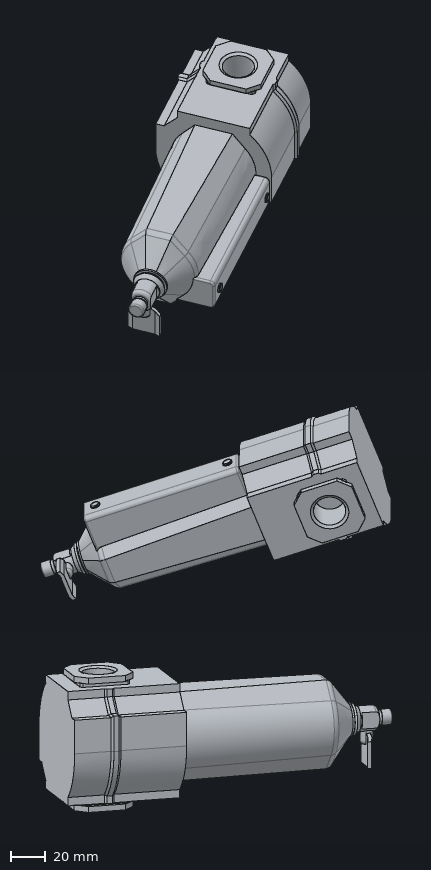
import cadquery as cq
import math


OVERALL_LENGTH = 201.9

HEAD_BACK = 25.0
HEAD_LENGTH = 67.7
HEAD_FRONT = HEAD_BACK - HEAD_LENGTH
HEAD_HALF_HEIGHT = 34.0
HEAD_TOP_HALF_WIDTH = 22.2
SHOULDER_HEIGHT = 29.0
STEP_HALF_WIDTH = 30.3
STEP_HEIGHT = 20.0
HEAD_HALF_WIDTH = 35.6

BAND_HALF_WIDTH = 36.75
BAND_HEIGHT = BAND_HALF_WIDTH - HEAD_HALF_WIDTH
BAND_BASE_WIDTH = 6.0
BAND_CREST_WIDTH = 3.2

FLANGE_OUTER = 40.0
FLANGE_WIDTH = 35.6
FLANGE_CORNER = 6.7
FLANGE_THICKNESS = 3.6
NECK_WIDTH = 30.0
NECK_CORNER = 1.4
PORT_DIAMETER = 18.6
PORT_MOUTH_DIAMETER = 22.2
PORT_MOUTH_DEPTH = 1.2
PORT_DEPTH = 20.0

BOWL_HALF_HEIGHT = 26.5
ROOT_CORNERS = ((11.5, BOWL_HALF_HEIGHT), (19.3, 17.4))
ROOT_SIDE_RADIUS = 26.0
EDGE_CORNERS = ((8.0, BOWL_HALF_HEIGHT), (17.4, 16.2))
EDGE_SIDE_RADIUS = 23.8
BOWL_EDGE = -137.4
BOWL_EDGE_FILLET = 4.7
BOWL_TIP_RADIUS = 10.2
BOWL_TIP_START = -151.0
BOWL_TIP = -152.2
TIP_FLAT_ANGLE = 18.8
TIP_SIDE_ANGLE = 47.6

GUARD_BACK = -43.7
GUARD_FRONT = -139.4
GUARD_TOP = 0.3
GUARD_BOTTOM = -20.4
GUARD_INNER = 10.0
GUARD_OUTER = 35.0
GUARD_CORNER_RADIUS = 3.0
GUARD_END_RADIUS = 1.2
SCREW_RADIUS = 2.8
SCREW_HEIGHT = 1.2
SCREW_CHAMFER = 0.5
SCREW_Y = (-50.0, -131.4)

VALVE_END = HEAD_BACK - OVERALL_LENGTH
COLLAR_NECK_RADIUS = 8.7
COLLAR_RADIUS = 9.6
COLLAR_NECK_END = -152.8
COLLAR_CREST = -154.0
COLLAR_END = -156.7
VALVE_RADIUS = 7.6
VALVE_HALF_FLATS = 5.85
FLATS_START = -157.6
VALVE_BODY_END = -168.6
VALVE_BODY_FILLET = 2.4
SPIGOT_RADIUS = 4.8
SPIGOT_NECK_RADIUS = 4.3
SPIGOT_NECK_END = -170.5
SPIGOT_FILLET = 0.9

LEVER_Y = -162.2
STEM_RADIUS = 3.95
STEM_END = -15.0
STEM_FILLET = 1.7
WING_HALF_WIDTH = 10.25
WING_BEND = 7.0
WING_BEND_SHIFT = 1.3
WING_THICKNESS = 2.5
WING_TOP = -7.0
WING_SHOULDER = -11.6
WING_SLOPE_START = 2.0
WING_BOTTOM = -27.7


def section_plane(y):
    """Plane across the long axis: local x is X, local y is Z, extrusion runs toward -Y."""
    return cq.Workplane("XZ", origin=(0, y, 0))


def head_outline(plane):
    rise = HEAD_HALF_WIDTH - HEAD_TOP_HALF_WIDTH
    arc_radius = (rise**2 + SHOULDER_HEIGHT**2) / (2 * rise)
    arc_angle = math.asin(SHOULDER_HEIGHT / arc_radius) / 2
    mid_x = HEAD_HALF_WIDTH - arc_radius * (1 - math.cos(arc_angle))
    mid_z = arc_radius * math.sin(arc_angle)
    return (
        plane.moveTo(-HEAD_TOP_HALF_WIDTH, HEAD_HALF_HEIGHT)
        .lineTo(HEAD_TOP_HALF_WIDTH, HEAD_HALF_HEIGHT)
        .lineTo(HEAD_TOP_HALF_WIDTH, SHOULDER_HEIGHT)
        .threePointArc((mid_x, mid_z), (HEAD_HALF_WIDTH, 0))
        .lineTo(HEAD_HALF_WIDTH, -STEP_HEIGHT)
        .lineTo(STEP_HALF_WIDTH, -STEP_HEIGHT)
        .lineTo(HEAD_TOP_HALF_WIDTH, -SHOULDER_HEIGHT)
        .lineTo(HEAD_TOP_HALF_WIDTH, -HEAD_HALF_HEIGHT)
        .lineTo(-HEAD_TOP_HALF_WIDTH, -HEAD_HALF_HEIGHT)
        .lineTo(-HEAD_TOP_HALF_WIDTH, -SHOULDER_HEIGHT)
        .threePointArc((-mid_x, -mid_z), (-HEAD_HALF_WIDTH, 0))
        .lineTo(-HEAD_HALF_WIDTH, STEP_HEIGHT)
        .lineTo(-STEP_HALF_WIDTH, STEP_HEIGHT)
        .lineTo(-HEAD_TOP_HALF_WIDTH, SHOULDER_HEIGHT)
        .close()
    )


def build_band():
    base = head_outline(section_plane(0)).val()
    crest = base.offset2D(BAND_HEIGHT, "intersection")[0]
    half_base = BAND_BASE_WIDTH / 2
    half_crest = BAND_CREST_WIDTH / 2
    levels = [(base, half_base), (crest, half_crest), (crest, -half_crest), (base, -half_base)]
    wires = [wire.translate(cq.Vector(0, y, 0)) for wire, y in levels]
    band = cq.Workplane(cq.Solid.makeLoft(wires, True))
    keep = cq.Workplane("XY").box(4 * HEAD_HALF_WIDTH, BAND_BASE_WIDTH, 2 * HEAD_HALF_HEIGHT)
    return band.intersect(keep)


def build_port_flange():
    neck = (
        cq.Workplane("XY", origin=(0, 0, HEAD_HALF_HEIGHT))
        .rect(NECK_WIDTH, NECK_WIDTH)
        .extrude(FLANGE_OUTER - HEAD_HALF_HEIGHT - FLANGE_THICKNESS)
        .edges("|Z")
        .chamfer(NECK_CORNER)
    )
    flange = (
        cq.Workplane("XY", origin=(0, 0, FLANGE_OUTER - FLANGE_THICKNESS))
        .rect(FLANGE_WIDTH, FLANGE_WIDTH)
        .extrude(FLANGE_THICKNESS)
        .edges("|Z")
        .chamfer(FLANGE_CORNER)
    )
    return neck.union(flange)


def build_port_hole():
    bottom = FLANGE_OUTER - PORT_DEPTH
    return (
        cq.Workplane("XZ")
        .moveTo(0, bottom)
        .lineTo(PORT_DIAMETER / 2, bottom)
        .lineTo(PORT_DIAMETER / 2, FLANGE_OUTER - PORT_MOUTH_DEPTH)
        .lineTo(PORT_MOUTH_DIAMETER / 2, FLANGE_OUTER)
        .lineTo(0, FLANGE_OUTER)
        .close()
        .revolve(360, (0, 0, 0), (0, 1, 0))
    )


def build_head():
    head = head_outline(section_plane(HEAD_BACK)).extrude(HEAD_LENGTH)
    head = head.union(build_band())
    flange = build_port_flange()
    hole = build_port_hole()
    for turn in (0, 180):
        head = head.union(flange.rotate((0, 0, 0), (1, 0, 0), turn))
        head = head.cut(hole.rotate((0, 0, 0), (1, 0, 0), turn))
    return head


def eight_sided_wire(y, corners, side_radius, flat_radius=None):
    """Closed section through the upper right corners and their mirror images.

    `corners` are the end of the top flat and the start of the side arc. The flats and bevels
    are straight, or arcs of `flat_radius` when that is given.
    """
    (flat_x, flat_z), (side_x, side_z) = corners
    points = [
        (flat_x, flat_z), (side_x, side_z), (side_x, -side_z), (flat_x, -flat_z),
        (-flat_x, -flat_z), (-side_x, -side_z), (-side_x, side_z), (-flat_x, flat_z),
    ]
    edges = []
    for index, (x0, z0) in enumerate(points):
        x1, z1 = points[(index + 1) % len(points)]
        start = cq.Vector(x0, y, z0)
        end = cq.Vector(x1, y, z1)
        is_side = x0 == x1 and abs(x0) == side_x
        radius = side_radius if is_side else flat_radius
        if radius is None:
            edges.append(cq.Edge.makeLine(start, end))
            continue
        half_chord = math.hypot(x1 - x0, z1 - z0) / 2
        middle = (start + end) * 0.5
        outward = cq.Vector(middle.x, 0, middle.z).normalized()
        bulge = radius - math.sqrt(radius**2 - half_chord**2)
        edges.append(cq.Edge.makeThreePointArc(start, middle + outward * bulge, end))
    return cq.Wire.assembleEdges(edges)


def build_bowl_shell():
    root = eight_sided_wire(HEAD_FRONT, ROOT_CORNERS, ROOT_SIDE_RADIUS)
    edge = eight_sided_wire(BOWL_EDGE, EDGE_CORNERS, EDGE_SIDE_RADIUS)
    flat_angle = math.radians(TIP_FLAT_ANGLE)
    side_angle = math.radians(TIP_SIDE_ANGLE)
    tip_corners = [
        (BOWL_TIP_RADIUS * math.sin(angle), BOWL_TIP_RADIUS * math.cos(angle))
        for angle in (flat_angle, side_angle)
    ]
    tip = eight_sided_wire(BOWL_TIP_START, tip_corners, BOWL_TIP_RADIUS, BOWL_TIP_RADIUS)
    shell = cq.Workplane(cq.Solid.makeLoft([root, edge, tip], True))
    reach = 2 * BOWL_HALF_HEIGHT
    slack = 0.1
    edge_zone = cq.selectors.BoxSelector(
        (-reach, BOWL_EDGE - slack, -reach),
        (reach, BOWL_EDGE + slack, reach),
    )
    shell = shell.edges(edge_zone).fillet(BOWL_EDGE_FILLET)
    rim = section_plane(BOWL_TIP_START).circle(BOWL_TIP_RADIUS).extrude(BOWL_TIP_START - BOWL_TIP)
    return shell.union(rim)


def build_sight_guard():
    guard = (
        cq.Workplane("XY")
        .box(
            GUARD_OUTER - GUARD_INNER,
            GUARD_BACK - GUARD_FRONT,
            GUARD_TOP - GUARD_BOTTOM,
            centered=False,
        )
        .translate((GUARD_INNER, GUARD_FRONT, GUARD_BOTTOM))
        .edges("|Y and >X")
        .fillet(GUARD_CORNER_RADIUS)
        .faces("<Y or >Y")
        .edges("not <X")
        .fillet(GUARD_END_RADIUS)
    )
    screw_z = (GUARD_TOP + GUARD_BOTTOM) / 2
    for y in SCREW_Y:
        screw = (
            cq.Workplane("YZ", origin=(GUARD_OUTER, y, screw_z))
            .circle(SCREW_RADIUS)
            .extrude(SCREW_HEIGHT)
            .faces(">X")
            .chamfer(SCREW_CHAMFER)
        )
        guard = guard.union(screw)
    return guard


def build_bowl():
    return build_bowl_shell().union(build_sight_guard())


def build_valve_body():
    collar = (
        cq.Workplane("XY")
        .moveTo(0, BOWL_TIP)
        .lineTo(COLLAR_NECK_RADIUS, BOWL_TIP)
        .lineTo(COLLAR_NECK_RADIUS, COLLAR_NECK_END)
        .lineTo(COLLAR_RADIUS, COLLAR_CREST)
        .lineTo(VALVE_RADIUS, COLLAR_END)
        .lineTo(0, COLLAR_END)
        .close()
        .revolve(360, (0, 0, 0), (0, 1, 0))
    )
    body = (
        section_plane(COLLAR_END)
        .circle(VALVE_RADIUS)
        .extrude(COLLAR_END - VALVE_BODY_END)
        .faces("<Y")
        .fillet(VALVE_BODY_FILLET)
    )
    flat_cut = VALVE_RADIUS - VALVE_HALF_FLATS
    for side in (-1, 1):
        flat = (
            section_plane(FLATS_START)
            .center(side * (VALVE_HALF_FLATS + flat_cut / 2), 0)
            .rect(flat_cut, 2 * VALVE_RADIUS)
            .extrude(FLATS_START - VALVE_BODY_END)
        )
        body = body.cut(flat)
    spigot_neck = section_plane(VALVE_BODY_END).circle(SPIGOT_NECK_RADIUS)
    spigot = (
        section_plane(SPIGOT_NECK_END)
        .circle(SPIGOT_RADIUS)
        .extrude(SPIGOT_NECK_END - VALVE_END)
        .faces("<Y")
        .fillet(SPIGOT_FILLET)
    )
    return (
        collar.union(body)
        .union(spigot_neck.extrude(VALVE_BODY_END - SPIGOT_NECK_END))
        .union(spigot)
    )


def build_lever():
    stem = (
        cq.Workplane("XY", origin=(0, LEVER_Y, 0))
        .circle(STEM_RADIUS)
        .extrude(STEM_END)
        .faces("<Z")
        .fillet(STEM_FILLET)
    )
    back = WING_THICKNESS / 2
    bent = [
        (-WING_HALF_WIDTH, WING_BEND_SHIFT),
        (-WING_BEND, 0),
        (WING_BEND, 0),
        (WING_HALF_WIDTH, -WING_BEND_SHIFT),
    ]
    back_line = [(x, y + back) for x, y in bent]
    front_line = [(x, y - back) for x, y in reversed(bent)]
    wing = (
        cq.Workplane("XY", origin=(0, LEVER_Y, WING_BOTTOM))
        .polyline(back_line + front_line)
        .close()
        .extrude(WING_TOP - WING_BOTTOM)
    )
    elevation = (
        section_plane(0)
        .polyline(
            [
                (-WING_HALF_WIDTH, WING_BOTTOM),
                (WING_HALF_WIDTH, WING_BOTTOM),
                (WING_HALF_WIDTH, WING_SHOULDER),
                (WING_SLOPE_START, WING_TOP),
                (-WING_SLOPE_START, WING_TOP),
                (-WING_HALF_WIDTH, WING_SHOULDER),
            ]
        )
        .close()
        .extrude(-VALVE_END)
    )
    return stem.union(wing.intersect(elevation))


def build_drain():
    return build_valve_body().union(build_lever())


head = build_head()
bowl = build_bowl()
drain = build_drain()

result = cq.Compound.makeCompound([head.val(), bowl.val(), drain.val()])